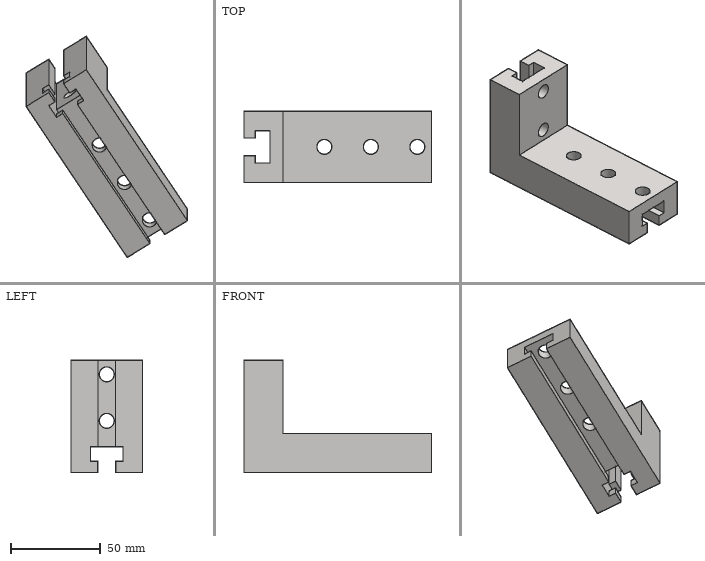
import cadquery as cq

length = 105.0
width = 40.0
height = 63.0
leg_thickness = 22.0

slot_neck_width = 9.8
slot_neck_depth = 6.5
slot_head_width = 18.0
slot_depth = 14.5

hole_diameter = 8.2
hole_pitch = 26.0
hole_end_distance = 8.0
foot_hole_count = 3
upright_hole_count = 2


def make_body():
    """L-shaped block, centred on Y, with its outer corner at X = Z = 0."""
    foot = cq.Workplane("XY").box(length, width, leg_thickness, centered=(False, True, False))
    upright = cq.Workplane("XY").box(leg_thickness, width, height, centered=(False, True, False))
    return foot.union(upright)


def make_t_slot(run):
    """T-slot along X, opening at Z = 0."""
    neck = cq.Workplane("XY").box(run, slot_neck_width, slot_depth, centered=(False, True, False))
    head = (
        cq.Workplane("XY")
        .workplane(offset=slot_neck_depth)
        .box(run, slot_head_width, slot_depth - slot_neck_depth, centered=(False, True, False))
    )
    return neck.union(head)


def make_holes(run, count):
    """Row of vertical holes along X, counted inward from the free end of the leg."""
    centres = [(run - hole_end_distance - i * hole_pitch, 0) for i in range(count)]
    return cq.Workplane("XY").pushPoints(centres).circle(hole_diameter / 2).extrude(leg_thickness)


def make_leg_cuts(run, hole_count):
    """T-slot and bolt holes of one leg lying along X."""
    return make_t_slot(run).union(make_holes(run, hole_count))


def swap_x_and_z(cuts):
    """Turn cuts of a leg along X into those of a leg along Z; they are symmetric in Y."""
    return cuts.rotate((0, 0, 0), (1, 0, 1), 180)


foot_cuts = make_leg_cuts(length, foot_hole_count)
upright_cuts = swap_x_and_z(make_leg_cuts(height, upright_hole_count))

result = make_body().cut(foot_cuts).cut(upright_cuts)